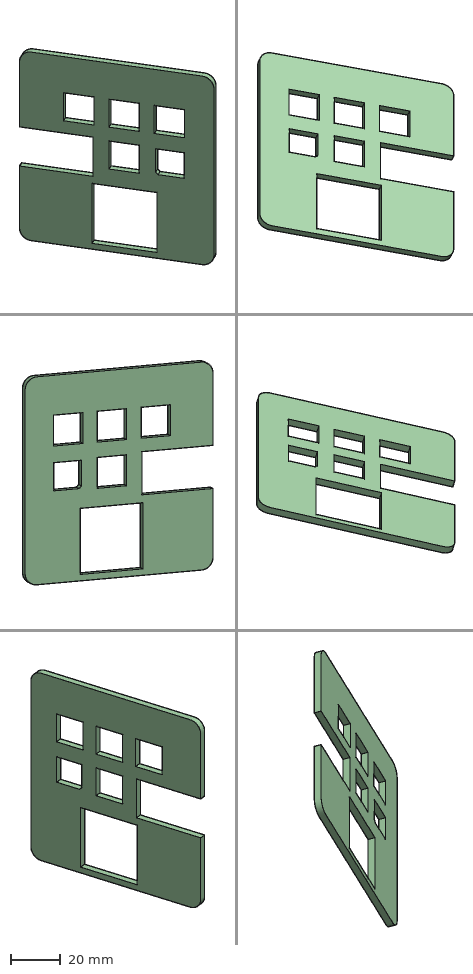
import cadquery as cq

plate_width = 82.0
plate_height = 86
plate_thickness = 3.0
corner_radius = 5.1

key_size = 12.7
key_pitch = 19.1
middle_key_x = 3.1
upper_key_z = 20.1
lower_key_z = upper_key_z - key_pitch

small_width = 12
small_height = 11.6
small_offset = 0.3
small_x = middle_key_x + key_pitch + small_offset
small_z = lower_key_z
small_chamfer = 1.0

window_size = 27.3
window_x = 3.3
window_z = -26.7

notch_depth = 31
notch_height = 17.8
notch_x = (notch_depth - plate_width) / 2
notch_z = -0.8


def upright_block(width, height, x=0, z=0):
    """Block as thick as the plate, centred at (x, z)."""
    return cq.Workplane("XY").box(width, plate_thickness, height).translate((x, 0, z))


plate = upright_block(plate_width, plate_height).edges("|Y").fillet(corner_radius)

key_centres = [(middle_key_x + column * key_pitch, upper_key_z) for column in (-1, 0, 1)]
key_centres.append((middle_key_x, lower_key_z))
for key_x, key_z in key_centres:
    plate = plate.cut(upright_block(key_size, key_size, key_x, key_z))

small_opening = (
    upright_block(small_width, small_height, small_x, small_z)
    .faces("<X")
    .edges("<Z")
    .chamfer(small_chamfer)
)
plate = plate.cut(small_opening)

plate = plate.cut(upright_block(window_size, window_size, window_x, window_z))
plate = plate.cut(upright_block(notch_depth, notch_height, notch_x, notch_z))

result = plate